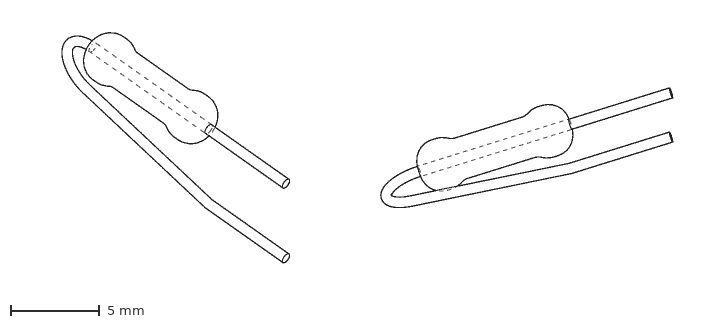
import cadquery as cq
import math

WIRE_DIAMETER = 0.6
BEND_RADIUS = 1.99
OVERALL_LENGTH = 17.3
OVERALL_HEIGHT = 8.15

BULB_DIAMETER = 3.0
BARREL_DIAMETER = 2.4
BODY_LENGTH = 9.0
BULB_FLAT_LENGTH = 0.3
SHOULDER_LENGTH = 1.02
SHOULDER_CONVEX_LENGTH = 0.6

wire_radius = WIRE_DIAMETER / 2
bulb_radius = BULB_DIAMETER / 2
barrel_radius = BARREL_DIAMETER / 2

body_left = 0.0
body_right = body_left + BODY_LENGTH
lead_end = OVERALL_LENGTH - BEND_RADIUS - wire_radius
lower_lead_z = -(OVERALL_HEIGHT - bulb_radius - wire_radius)


def make_body():
    """Revolved resistor body with a through hole for the wire."""
    cap_radius = bulb_radius - wire_radius
    cap_midpoint_offset = cap_radius * math.sin(math.pi / 4)
    crest_start = cap_radius
    crest_end = crest_start + BULB_FLAT_LENGTH
    inflection = crest_end + SHOULDER_CONVEX_LENGTH
    barrel_start = crest_end + SHOULDER_LENGTH

    convex_share = SHOULDER_CONVEX_LENGTH / SHOULDER_LENGTH
    inflection_radius = bulb_radius - convex_share * (bulb_radius - barrel_radius)

    profile = (
        cq.Workplane("XZ")
        .moveTo(body_left, wire_radius)
        .threePointArc(
            (body_left + cap_radius - cap_midpoint_offset, wire_radius + cap_midpoint_offset),
            (body_left + crest_start, bulb_radius),
        )
        .lineTo(body_left + crest_end, bulb_radius)
        .tangentArcPoint((body_left + inflection, inflection_radius), relative=False)
        .tangentArcPoint((body_left + barrel_start, barrel_radius), relative=False)
        .lineTo(body_right - barrel_start, barrel_radius)
        .tangentArcPoint((body_right - inflection, inflection_radius), relative=False)
        .tangentArcPoint((body_right - crest_end, bulb_radius), relative=False)
        .lineTo(body_right - crest_start, bulb_radius)
        .threePointArc(
            (body_right - cap_radius + cap_midpoint_offset, wire_radius + cap_midpoint_offset),
            (body_right, wire_radius),
        )
        .close()
    )
    return profile.revolve(360, (0, 0, 0), (1, 0, 0))


def make_wire():
    """Continuous wire swept through the body, round the bend and out along the lower lead."""
    run_x = body_right - body_left
    run_drop = -BEND_RADIUS - lower_lead_z
    slope = math.atan2(run_drop, run_x) - math.asin(BEND_RADIUS / math.hypot(run_x, run_drop))
    bend_end = (
        body_left - BEND_RADIUS * math.sin(slope),
        -BEND_RADIUS - BEND_RADIUS * math.cos(slope),
    )
    path = (
        cq.Workplane("XZ")
        .moveTo(lead_end, 0)
        .lineTo(body_left, 0)
        .threePointArc((body_left - BEND_RADIUS, -BEND_RADIUS), bend_end)
        .lineTo(body_right, lower_lead_z)
        .lineTo(lead_end, lower_lead_z)
    )
    return (
        cq.Workplane("YZ", origin=(lead_end, 0, 0))
        .circle(wire_radius)
        .sweep(path, transition="right")
    )


body = make_body()
wire = make_wire()
result = cq.Compound.makeCompound([body.val(), wire.val()])